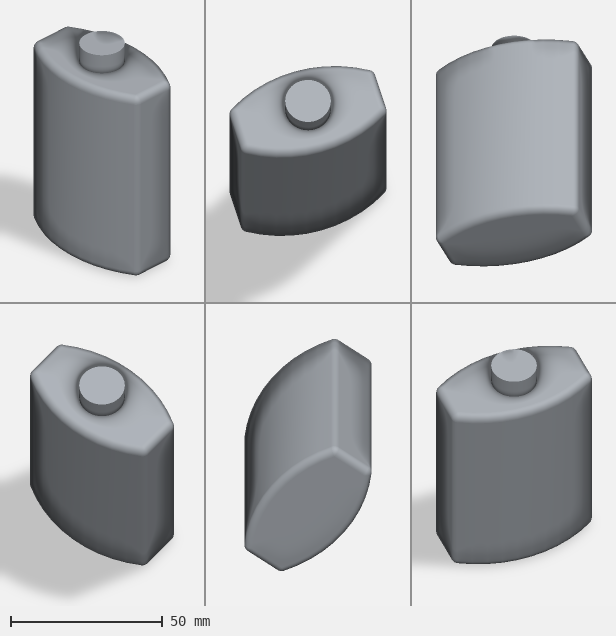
import cadquery as cq

total_height = 77.0
neck_height = 7.0
neck_diameter = 15.0
body_width = 50.0
body_depth = 30.0
side_depth = 15.0
edge_radius = 2.5

body_height = total_height - neck_height


def make_body():
    """Upright body with flat sides, bowed front and back, and rounded edges."""
    half_width = body_width / 2
    half_side = side_depth / 2
    half_depth = body_depth / 2
    outline = (
        cq.Workplane("XY")
        .moveTo(-half_width, -half_side)
        .lineTo(-half_width, half_side)
        .threePointArc((0, half_depth), (half_width, half_side))
        .lineTo(half_width, -half_side)
        .threePointArc((0, -half_depth), (-half_width, -half_side))
        .close()
    )
    return outline.extrude(body_height).edges().fillet(edge_radius)


def make_neck():
    """Solid round neck standing on the centre of the body's top face."""
    return (
        cq.Workplane("XY")
        .workplane(offset=body_height)
        .circle(neck_diameter / 2)
        .extrude(neck_height)
    )


result = make_body().union(make_neck())